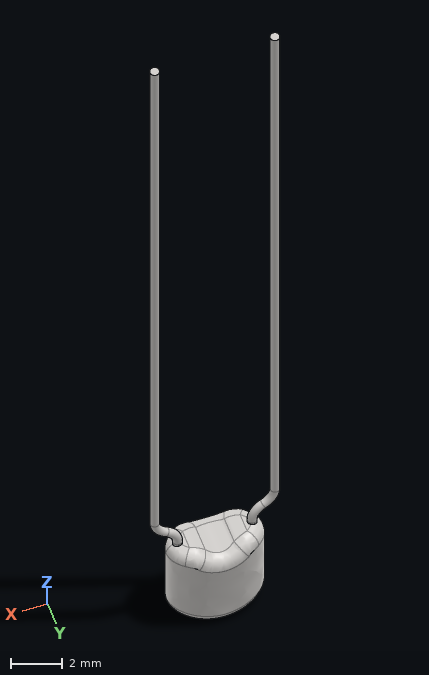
import cadquery as cq
import math

total_height = 36.6

body_width = 4.05
body_depth = 2.6
crest_height = 4.42
crest_offset = 1.2
valley_height = 4.0
bottom_rise = 0.5
edge_radius = 0.55

lead_diameter = 0.4
lead_spacing = 5.0
root_spacing = 3.1
bend_bottom = 4.5
bend_top = 6.15
root_depth = 1.0


def make_side_profile():
    """Body outline in XZ: bowed bottom, two rounded crests with a valley between."""
    half_width = body_width / 2
    half_rise = (crest_height - valley_height) / 2
    half_run = crest_offset / 2
    wave_radius = (half_run**2 + half_rise**2) / (2 * half_rise)
    half_turn = math.asin(half_run / wave_radius) / 2
    mid_run = wave_radius * math.sin(half_turn)
    mid_drop = wave_radius * (1 - math.cos(half_turn))
    inflection_height = valley_height + half_rise
    return (
        cq.Workplane("XZ")
        .moveTo(-half_width, bottom_rise)
        .threePointArc((0, 0), (half_width, bottom_rise))
        .lineTo(half_width, crest_height)
        .lineTo(crest_offset, crest_height)
        .threePointArc((crest_offset - mid_run, crest_height - mid_drop), (half_run, inflection_height))
        .threePointArc((0, valley_height), (-half_run, inflection_height))
        .threePointArc((mid_run - crest_offset, crest_height - mid_drop), (-crest_offset, crest_height))
        .lineTo(-half_width, crest_height)
        .close()
    )


def make_body():
    """Elliptical column cut to the side profile, with its end rims rounded."""
    column = cq.Workplane("XY").ellipse(body_width / 2, body_depth / 2).extrude(crest_height)
    slab = make_side_profile().extrude(body_depth, both=True)
    body = column.intersect(slab)
    rims = body.edges("not (|Y or |Z)")
    return rims.fillet(edge_radius)


def make_lead(side):
    """Wire rising from the body and stepping outward through an S bend."""
    root_x = side * root_spacing / 2
    lead_x = side * lead_spacing / 2
    step = (lead_spacing - root_spacing) / 2
    rise = bend_top - bend_bottom
    bend_angle = 2 * math.atan2(step, rise)
    bend_radius = rise / (2 * math.sin(bend_angle))
    arc_in = bend_radius * (1 - math.cos(bend_angle / 2))
    arc_up = bend_radius * math.sin(bend_angle / 2)
    path = (
        cq.Workplane("XZ")
        .moveTo(root_x, bend_bottom - root_depth)
        .lineTo(root_x, bend_bottom)
        .threePointArc(
            (root_x + side * arc_in, bend_bottom + arc_up),
            ((root_x + lead_x) / 2, (bend_bottom + bend_top) / 2),
        )
        .threePointArc((lead_x - side * arc_in, bend_top - arc_up), (lead_x, bend_top))
        .lineTo(lead_x, total_height)
    )
    start = cq.Workplane("XY", origin=(root_x, 0, bend_bottom - root_depth))
    return start.circle(lead_diameter / 2).sweep(path)


result = make_body()
for lead_side in (-1, 1):
    result = result.union(make_lead(lead_side))